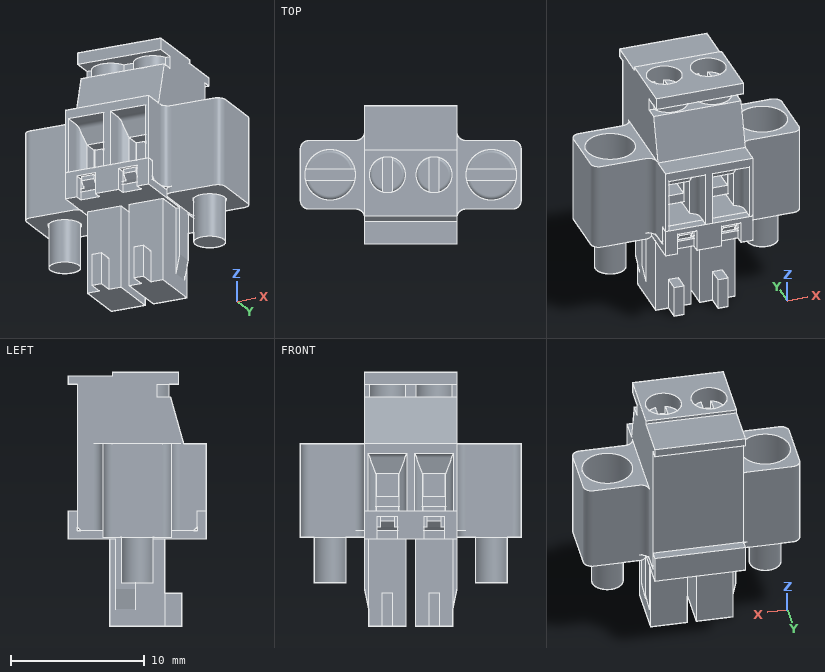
import cadquery as cq
import math


pitch = 3.5
body_width = 6.95
half_width = body_width / 2
half_depth = 5.2
overall_length = 16.6
overall_height = 19.1
terminal_xs = [-pitch / 2, pitch / 2]
flange_sides = [-1, 1]
flange_screw_x = 6.05

tray_bottom_z = 6.56
tray_floor_z = 7.2
rim_top_z = 8.68
rim_thickness = 0.7
rim_inner_y = half_depth - rim_thickness
leg_width = 2.82
leg_half_depth = 2.08
key_width = 0.79
key_length = 1.28
key_height = 2.5
side_rib_front_y = 0.15
side_rib_back_y = 1.62
side_rib_taper_top_z = 2.8
side_rib_tip_z = 1.28

latch_width = 1.54
latch_top_z = 8.25
tab_width = 1.03
tab_reach = 0.4
tab_edge_z = 7.92

shelf_z = 13.72
bottom_bevel = 0.25
bevel_top_z = tray_floor_z + bottom_bevel
slope_bottom_y = -3.5
slope_top_y = -2.51
notch_floor_z = 17.23
notch_wall_y = -1.49
lid_underside_z = 18.17
lid_front_y = -3.1
lid_step_y = 1.87
lid_back_z = 18.82

boss_chord = 2.7
boss_reach = 0.9
boss_radius = ((boss_chord / 2) ** 2 + boss_reach ** 2) / (2 * boss_reach)
boss_y = notch_wall_y - boss_reach + boss_radius

flange_bottom_z = 6.69
flange_half_depth = 2.58
flange_corner_radius = 0.65

entry_width = 2.94
entry_top_z = 13.0
throat_width = 1.74
throat_top_z = 11.47
taper_start_y = -3.65
taper_end_y = -3.22
entry_side_radius = 0.68
entry_top_radius = 0.47
selection_margin = 0.01

clamp_width = 2.4
clamp_half_depth = 2.0
clamp_bottom_z = 9.0
clamp_top_z = 13.0
clamp_hole_width = 1.65
clamp_hole_bottom_z = 9.75
clamp_hole_top_z = 12.0

contact_width = 1.65
contact_half_depth = 1.5
contact_bottom_z = 1.0

terminal_head_diameter = 2.7
terminal_head_top_z = 18.0
terminal_head_bottom_z = 16.0
terminal_shank_diameter = 1.9
terminal_edge_radius = 0.25
terminal_slot_width = 0.77

flange_head_diameter = 3.8
flange_head_top_z = 10.2
flange_head_bottom_z = 8.2
flange_shank_diameter = 2.4
flange_shank_hole_diameter = 2.5
flange_shank_bottom_z = 3.28
flange_edge_radius = 0.28
flange_slot_width = 0.84

slot_depth = 0.8


def block(x_range, y_range, z_range):
    """Box between the given limits."""
    (x0, x1), (y0, y1), (z0, z1) = x_range, y_range, z_range
    return cq.Workplane("XY").box(x1 - x0, y1 - y0, z1 - z0, centered=False).translate((x0, y0, z0))


def centred_block(x, width, y_range, z_range):
    """Box of the given width, centred on x."""
    return block((x - width / 2, x + width / 2), y_range, z_range)


def post(x, y, diameter, bottom_z, top_z):
    """Upright cylinder."""
    return cq.Workplane("XY", origin=(x, y, bottom_z)).circle(diameter / 2).extrude(top_z - bottom_z)


def side_profile(points, x, width):
    """Outline of (y, z) points, extruded along X and centred on x."""
    return cq.Workplane("YZ", origin=(x, 0, 0)).polyline(points).close().extrude(width / 2, both=True)


def leg(x):
    """Plug leg with its coding key and, on its outer side, a tapered rib."""
    side = math.copysign(1, x)
    shaft = centred_block(x, leg_width, (-leg_half_depth, leg_half_depth), (0, tray_floor_z))
    key = centred_block(x, key_width, (-leg_half_depth - key_length, -leg_half_depth), (0, key_height))
    leg_face_x = x + side * leg_width / 2
    rib = (
        cq.Workplane("XZ", origin=(0, side_rib_back_y, 0))
        .polyline([
            (x, side_rib_tip_z),
            (leg_face_x, side_rib_tip_z),
            (side * half_width, side_rib_taper_top_z),
            (side * half_width, tray_floor_z),
            (x, tray_floor_z),
        ])
        .close()
        .extrude(side_rib_back_y - side_rib_front_y)
    )
    return shaft.union(key).union(rib)


def make_contact(x):
    """Straight contact bar that stands in a leg and carries the clamp cage."""
    y_range = (-contact_half_depth, contact_half_depth)
    return centred_block(x, contact_width, y_range, (contact_bottom_z, clamp_bottom_z))


def make_base():
    """Tray with front and back rims, latch openings and two plug legs."""
    base = side_profile(
        [
            (-half_depth, tray_bottom_z),
            (half_depth, tray_bottom_z),
            (half_depth, rim_top_z),
            (rim_inner_y, rim_top_z),
            (rim_inner_y, tray_floor_z),
            (-rim_inner_y, tray_floor_z),
            (-rim_inner_y, rim_top_z),
            (-half_depth, rim_top_z),
        ],
        0,
        body_width,
    )
    for x in terminal_xs:
        opening = centred_block(x, latch_width, (-half_depth, -rim_inner_y), (tray_bottom_z, latch_top_z))
        base = base.cut(opening).union(leg(x)).cut(make_contact(x))
    return base


def housing_shell():
    """Middle part of the housing, with the overhanging lid and the notch under it."""
    return side_profile(
        [
            (-rim_inner_y + bottom_bevel, tray_floor_z),
            (rim_inner_y - bottom_bevel, tray_floor_z),
            (rim_inner_y, bevel_top_z),
            (rim_inner_y, lid_underside_z),
            (half_depth, lid_underside_z),
            (half_depth, lid_back_z),
            (lid_step_y, lid_back_z),
            (lid_step_y, overall_height),
            (lid_front_y, overall_height),
            (lid_front_y, lid_underside_z),
            (notch_wall_y, lid_underside_z),
            (notch_wall_y, notch_floor_z),
            (slope_top_y, notch_floor_z),
            (slope_bottom_y, shelf_z),
            (-half_depth, shelf_z),
            (-half_depth, rim_top_z),
            (-rim_inner_y, rim_top_z),
            (-rim_inner_y, bevel_top_z),
        ],
        0,
        body_width,
    )


def flange(side):
    """Rounded flange block on one end, blended into the housing wall above the tray."""
    x_range = sorted([side * half_width, side * overall_length / 2])
    y_range = (-flange_half_depth, flange_half_depth)
    ear = block(x_range, y_range, (flange_bottom_z, shelf_z)).edges("|Z").fillet(flange_corner_radius)

    wall_x = side * half_width
    root_x = side * (half_width + flange_corner_radius)
    root_y = flange_half_depth + flange_corner_radius
    arc_inset = flange_corner_radius * (1 - math.sqrt(0.5))
    arc_mid_x = side * (half_width + arc_inset)
    arc_mid_y = flange_half_depth + arc_inset
    web = (
        cq.Workplane("XY", origin=(0, 0, tray_floor_z))
        .moveTo(wall_x, -root_y)
        .threePointArc((arc_mid_x, -arc_mid_y), (root_x, -flange_half_depth))
        .lineTo(root_x, flange_half_depth)
        .threePointArc((arc_mid_x, arc_mid_y), (wall_x, root_y))
        .close()
        .extrude(shelf_z - tray_floor_z)
    )

    x = side * flange_screw_x
    head_bore = post(x, 0, flange_head_diameter, flange_head_bottom_z, shelf_z)
    shank_hole = post(x, 0, flange_shank_hole_diameter, flange_bottom_z, flange_head_bottom_z)
    return ear.union(web).cut(head_bore).cut(shank_hole)


def wire_entry(x):
    """Hollow of one wire entry: a mouth with blended tapers on three sides, leading to a throat."""
    bend_edges = cq.selectors.BoxSelector(
        (x - body_width, taper_start_y - selection_margin, 0),
        (x + body_width, taper_start_y + selection_margin, overall_height),
    )
    plan = (
        cq.Workplane("XY", origin=(x, 0, rim_top_z))
        .polyline([
            (-entry_width / 2, -half_depth),
            (-entry_width / 2, taper_start_y),
            (-throat_width / 2, taper_end_y),
            (throat_width / 2, taper_end_y),
            (entry_width / 2, taper_start_y),
            (entry_width / 2, -half_depth),
        ])
        .close()
        .extrude(entry_top_z - rim_top_z)
        .edges("|Z")
        .edges(bend_edges)
        .fillet(entry_side_radius)
    )
    profile = (
        side_profile(
            [
                (-half_depth, rim_top_z),
                (-half_depth, entry_top_z),
                (taper_start_y, entry_top_z),
                (taper_end_y, throat_top_z),
                (taper_end_y, rim_top_z),
            ],
            x,
            entry_width,
        )
        .edges("|X")
        .edges(bend_edges)
        .fillet(entry_top_radius)
    )
    throat = centred_block(x, throat_width, (taper_end_y, -contact_half_depth), (rim_top_z, throat_top_z))
    return plan.intersect(profile).union(throat)


def latch_tab(x):
    """Snap tab on the housing wall, bevelled below, that fills the top of a latch opening."""
    points = [
        (-rim_inner_y, bevel_top_z),
        (-rim_inner_y - tab_reach, tab_edge_z),
        (-rim_inner_y - tab_reach, latch_top_z),
        (-rim_inner_y, latch_top_z),
    ]
    return side_profile(points, x, tab_width)


def boss(x):
    """Rounded wall bulging into the notch in front of a terminal screw."""
    return post(x, boss_y, 2 * boss_radius, notch_floor_z, lid_underside_z)


def clamp_chamber(x):
    """Outer block of a clamp cage, also the chamber that it fills."""
    y_range = (-clamp_half_depth, clamp_half_depth)
    return centred_block(x, clamp_width, y_range, (clamp_bottom_z, clamp_top_z))


def make_housing():
    """Upper housing with its flanges, wire entries, screw bores and latch tabs."""
    housing = housing_shell()
    for side in flange_sides:
        housing = housing.union(flange(side))
    for x in terminal_xs:
        head_bore = post(x, 0, terminal_head_diameter, terminal_head_bottom_z, overall_height)
        shank_bore = post(x, 0, terminal_shank_diameter, clamp_top_z, terminal_head_bottom_z)
        housing = (
            housing.union(boss(x))
            .union(latch_tab(x))
            .cut(wire_entry(x))
            .cut(clamp_chamber(x))
            .cut(make_contact(x))
            .cut(head_bore)
            .cut(shank_bore)
        )
    return housing


def make_clamp(x):
    """Cage with a wire hole through it along Y and a screw hole in its roof."""
    y_range = (-clamp_half_depth, clamp_half_depth)
    wire_hole = centred_block(x, clamp_hole_width, y_range, (clamp_hole_bottom_z, clamp_hole_top_z))
    screw_hole = post(x, 0, terminal_shank_diameter, clamp_hole_top_z, clamp_top_z)
    return clamp_chamber(x).cut(wire_hole).cut(screw_hole)


def screw_head(x, diameter, bottom_z, top_z, edge_radius):
    """Round head with a rounded upper rim."""
    return post(x, 0, diameter, bottom_z, top_z).faces(">Z").edges().fillet(edge_radius)


def make_terminal_screw(x):
    """Terminal screw, slotted along Y, that reaches into the clamp roof."""
    radius = terminal_head_diameter / 2
    top_z = terminal_head_top_z
    head = screw_head(x, terminal_head_diameter, terminal_head_bottom_z, top_z, terminal_edge_radius)
    slot = centred_block(x, terminal_slot_width, (-radius, radius), (top_z - slot_depth, top_z))
    shank = post(x, 0, terminal_shank_diameter, clamp_hole_top_z, terminal_head_bottom_z)
    return head.cut(slot).union(shank)


def make_flange_screw(x):
    """Flange screw, slotted along X, that projects below the flange."""
    top_z = flange_head_top_z
    half_slot = flange_slot_width / 2
    head = screw_head(x, flange_head_diameter, flange_head_bottom_z, top_z, flange_edge_radius)
    slot = centred_block(x, flange_head_diameter, (-half_slot, half_slot), (top_z - slot_depth, top_z))
    shank = post(x, 0, flange_shank_diameter, flange_shank_bottom_z, flange_head_bottom_z)
    return head.cut(slot).union(shank)


housing = make_housing()
base = make_base()
clamps = [make_clamp(x) for x in terminal_xs]
contacts = [make_contact(x) for x in terminal_xs]
terminal_screws = [make_terminal_screw(x) for x in terminal_xs]
flange_screws = [make_flange_screw(side * flange_screw_x) for side in flange_sides]

bodies = [housing, base] + clamps + contacts + terminal_screws + flange_screws
result = cq.Compound.makeCompound([body.solids().val() for body in bodies])